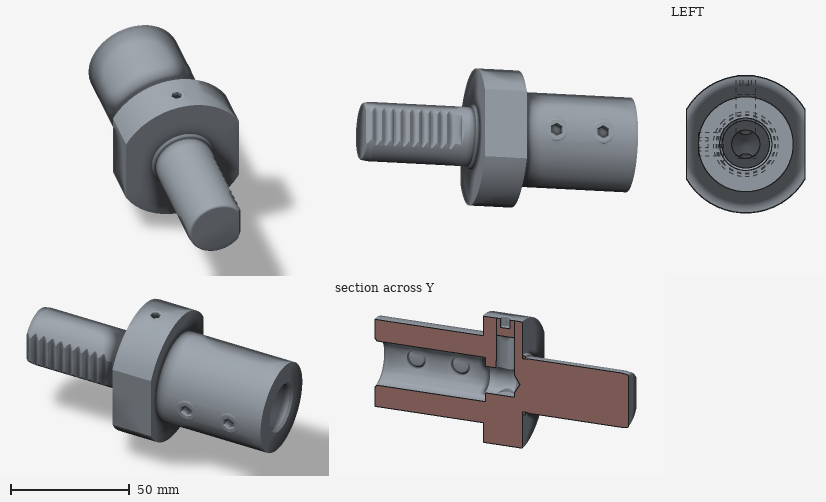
import cadquery as cq
import math

TOTAL_LENGTH = 115.0
SLEEVE_RADIUS = 20.0
FLANGE_START = 49.0
FLANGE_END = 67.0
FLANGE_RADIUS = 29.0
FLANGE_ACROSS_FLATS = 50.0

SHANK_RADIUS = 12.5
RELIEF_RADIUS = 12.3
RELIEF_END = 69.3
TAPER_START = 111.7
TAPER_END = 114.1
TAPER_END_RADIUS = 12.2
END_ROUNDING = 0.9

TOOTH_TIP_Y = 10.8
TOOTH_ROOT_Y = 9.4
TOOTH_LAND = 0.6
FIRST_ROOT_X = 78.7
LAST_ROOT_X = 114.7
TOOTH_COUNT = 9
TOOTH_PITCH = (LAST_ROOT_X - FIRST_ROOT_X) / TOOTH_COUNT
TOOTH_ZONE_START = 73.0
TOOTH_ZONE_BEVEL = 1.0

BORE_RADIUS = 10.0
BORE_DEPTH = 50.0
BORE_CHAMFER = 1.0
DRILL_RADIUS = 6.0
DRILL_DEPTH = 62.0
DRILL_POINT_ANGLE = 118.0
CROSS_HOLE_RADIUS = 4.0
CROSS_HOLE_DEPTH = DRILL_RADIUS

CLAMP_SCREW_XS = (15.0, 35.0)
CLAMP_SCREW_RADIUS = 5.0
CLAMP_SCREW_FACE_RADIUS = 4.3
CLAMP_SCREW_LENGTH = 9.5
CLAMP_SCREW_END_CHAMFER = 1.7
CLAMP_SOCKET_WIDTH = 5.0
CLAMP_SOCKET_DEPTH = 4.0

PLUG_SCREW_X = 59.1
PLUG_SCREW_RADIUS = 4.0
PLUG_SCREW_FACE_RADIUS = 3.3
PLUG_SCREW_LENGTH = 8.0
PLUG_SOCKET_WIDTH = 4.0
PLUG_SOCKET_DEPTH = 4.0

SCREW_CHAMFER_HEIGHT = 0.29

SEAL_RADIUS = 13.7
SEAL_WIDTH = 1.4
SEAL_ROUNDING = 1.0


def cylinder_along_x(radius, start, end):
    return cq.Workplane("YZ").workplane(offset=start).circle(radius).extrude(end - start)


def make_screw_blank(radius, face_radius, length):
    """Headless screw without its socket, standing on Z = 0 with its chamfered face up."""
    return (
        cq.Workplane("XY")
        .moveTo(0, 0)
        .lineTo(radius, 0)
        .lineTo(radius, length - SCREW_CHAMFER_HEIGHT)
        .lineTo(face_radius, length)
        .lineTo(0, length)
        .close()
        .revolve(360, (0, 0, 0), (0, 1, 0))
        .rotate((0, 0, 0), (1, 0, 0), 90)
    )


def make_socket(across_flats, depth, length):
    """Hexagon socket in the face of a screw of this length, two of its flats facing along X."""
    across_corners = across_flats / math.cos(math.pi / 6)
    return (
        cq.Workplane("XY")
        .workplane(offset=length - depth)
        .transformed(rotate=(0, 0, 90))
        .polygon(6, across_corners)
        .extrude(depth)
    )


def make_clamp_blank():
    blank = make_screw_blank(CLAMP_SCREW_RADIUS, CLAMP_SCREW_FACE_RADIUS, CLAMP_SCREW_LENGTH)
    return blank.faces("<Z").chamfer(CLAMP_SCREW_END_CHAMFER)


def make_plug_blank():
    return make_screw_blank(PLUG_SCREW_RADIUS, PLUG_SCREW_FACE_RADIUS, PLUG_SCREW_LENGTH)


def place_clamp(screw, x):
    """Lay a clamping screw along +Y, its face at the sleeve surface."""
    return (
        screw.rotate((0, 0, 0), (1, 0, 0), -90)
        .translate((x, SLEEVE_RADIUS - CLAMP_SCREW_LENGTH, 0))
    )


def place_plug(screw):
    """Stand the plug screw in the flange, its face level with the top of the flange."""
    return screw.translate((PLUG_SCREW_X, 0, FLANGE_RADIUS - PLUG_SCREW_LENGTH))


def make_clamp_screw(x):
    socket = make_socket(CLAMP_SOCKET_WIDTH, CLAMP_SOCKET_DEPTH, CLAMP_SCREW_LENGTH)
    screw = make_clamp_blank().cut(socket)
    return place_clamp(screw, x)


def make_plug_screw():
    socket = make_socket(PLUG_SOCKET_WIDTH, PLUG_SOCKET_DEPTH, PLUG_SCREW_LENGTH)
    screw = make_plug_blank().cut(socket)
    return place_plug(screw)


def make_seal_ring():
    seal_end = FLANGE_END + SEAL_WIDTH
    disc = cylinder_along_x(SEAL_RADIUS, FLANGE_END, seal_end)
    ring = disc.faces(">X").edges().fillet(SEAL_ROUNDING)
    return ring.cut(cylinder_along_x(RELIEF_RADIUS, FLANGE_END, seal_end))


def make_flange():
    disc = cylinder_along_x(FLANGE_RADIUS, FLANGE_START, FLANGE_END)
    flats = cq.Workplane("XY").box(2 * TOTAL_LENGTH, FLANGE_ACROSS_FLATS, 2 * FLANGE_RADIUS)
    return disc.intersect(flats)


def make_shank():
    end_face_radius = TAPER_END_RADIUS - END_ROUNDING
    arc_offset = END_ROUNDING * math.sqrt(0.5)
    return (
        cq.Workplane("XY")
        .moveTo(FLANGE_END, 0)
        .lineTo(FLANGE_END, RELIEF_RADIUS)
        .lineTo(RELIEF_END, RELIEF_RADIUS)
        .lineTo(RELIEF_END, SHANK_RADIUS)
        .lineTo(TAPER_START, SHANK_RADIUS)
        .lineTo(TAPER_END, TAPER_END_RADIUS)
        .threePointArc(
            (TAPER_END + arc_offset, end_face_radius + arc_offset),
            (TOTAL_LENGTH, end_face_radius),
        )
        .lineTo(TOTAL_LENGTH, 0)
        .close()
        .revolve(360, (0, 0, 0), (1, 0, 0))
    )


def make_tooth_cutter():
    """Prism along Z that leaves a row of flat-topped teeth on the +Y side."""
    half_root = TOOTH_LAND / 2
    half_tip_gap = (TOOTH_PITCH - TOOTH_LAND) / 2
    bevel_end = TOOTH_ZONE_START + TOOTH_ZONE_BEVEL
    outline = [
        (TOOTH_ZONE_START, SHANK_RADIUS),
        (bevel_end, SHANK_RADIUS - TOOTH_ZONE_BEVEL),
        (bevel_end, TOOTH_TIP_Y),
    ]
    for index in range(TOOTH_COUNT):
        root_x = FIRST_ROOT_X + index * TOOTH_PITCH
        outline += [
            (root_x - half_tip_gap, TOOTH_TIP_Y),
            (root_x - half_root, TOOTH_ROOT_Y),
            (root_x + half_root, TOOTH_ROOT_Y),
            (root_x + half_tip_gap, TOOTH_TIP_Y),
        ]
    outline += [
        (LAST_ROOT_X - half_tip_gap, TOOTH_TIP_Y),
        (LAST_ROOT_X - half_root, TOOTH_ROOT_Y),
        (TOTAL_LENGTH, TOOTH_ROOT_Y),
        (TOTAL_LENGTH, SHANK_RADIUS),
    ]
    return cq.Workplane("XY").polyline(outline).close().extrude(SHANK_RADIUS, both=True)


def make_bore_cutter():
    """Chamfered bore, then the drilled hole with its conical end."""
    cone_length = DRILL_RADIUS / math.tan(math.radians(DRILL_POINT_ANGLE / 2))
    return (
        cq.Workplane("XY")
        .moveTo(0, 0)
        .lineTo(0, BORE_RADIUS + BORE_CHAMFER)
        .lineTo(BORE_CHAMFER, BORE_RADIUS)
        .lineTo(BORE_DEPTH, BORE_RADIUS)
        .lineTo(BORE_DEPTH, DRILL_RADIUS)
        .lineTo(DRILL_DEPTH, DRILL_RADIUS)
        .lineTo(DRILL_DEPTH + cone_length, 0)
        .close()
        .revolve(360, (0, 0, 0), (1, 0, 0))
    )


def make_cross_hole_cutter():
    """Vertical blind passage from the plug screw down across the drilled hole."""
    return (
        cq.Workplane("XY")
        .workplane(offset=-CROSS_HOLE_DEPTH)
        .center(PLUG_SCREW_X, 0)
        .circle(CROSS_HOLE_RADIUS)
        .extrude(CROSS_HOLE_DEPTH + FLANGE_RADIUS - PLUG_SCREW_LENGTH)
    )


def make_clamp_hole_cutter(x):
    """Straight hole, narrower than the clamping screw, from the sleeve surface into the bore."""
    return (
        cq.Workplane("XZ")
        .center(x, 0)
        .circle(CLAMP_SCREW_FACE_RADIUS)
        .extrude(-SLEEVE_RADIUS)
    )


def make_holder():
    holder = cylinder_along_x(SLEEVE_RADIUS, 0, FLANGE_START)
    holder = holder.union(make_flange()).union(make_shank())
    holder = holder.cut(make_tooth_cutter())
    holder = holder.cut(make_bore_cutter())
    holder = holder.cut(make_cross_hole_cutter())
    holder = holder.cut(place_plug(make_plug_blank()))
    for x in CLAMP_SCREW_XS:
        holder = holder.cut(make_clamp_hole_cutter(x))
        holder = holder.cut(place_clamp(make_clamp_blank(), x))
    return holder


holder = make_holder()
clamp_screws = [make_clamp_screw(x) for x in CLAMP_SCREW_XS]
plug_screw = make_plug_screw()
seal_ring = make_seal_ring()

result = cq.Compound.makeCompound(
    [
        holder.val(),
        *[screw.val() for screw in clamp_screws],
        plug_screw.val(),
        seal_ring.val(),
    ]
)